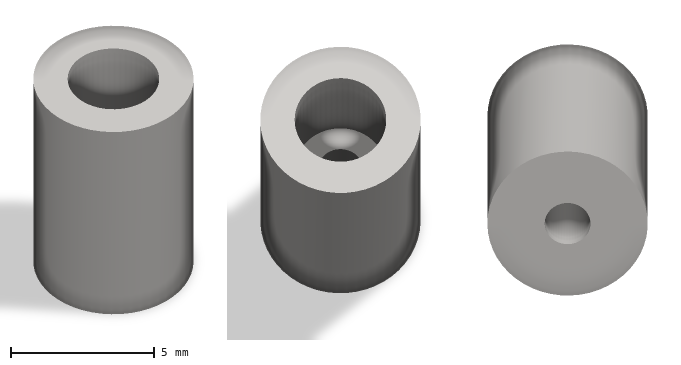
import cadquery as cq

outer_diameter = 5.6
height = 8.5
through_hole_diameter = 1.6
counterbore_diameter = 3.2
counterbore_depth = height / 2


def make_sleeve():
    """Plain cylinder standing on the XY plane, axis along Z."""
    return cq.Workplane("XY").circle(outer_diameter / 2).extrude(height)


def cut_stepped_bore(body):
    """Through hole with a wider, flat-bottomed bore entering from the top face."""
    return body.faces(">Z").workplane().cboreHole(
        through_hole_diameter, counterbore_diameter, counterbore_depth
    )


result = cut_stepped_bore(make_sleeve())